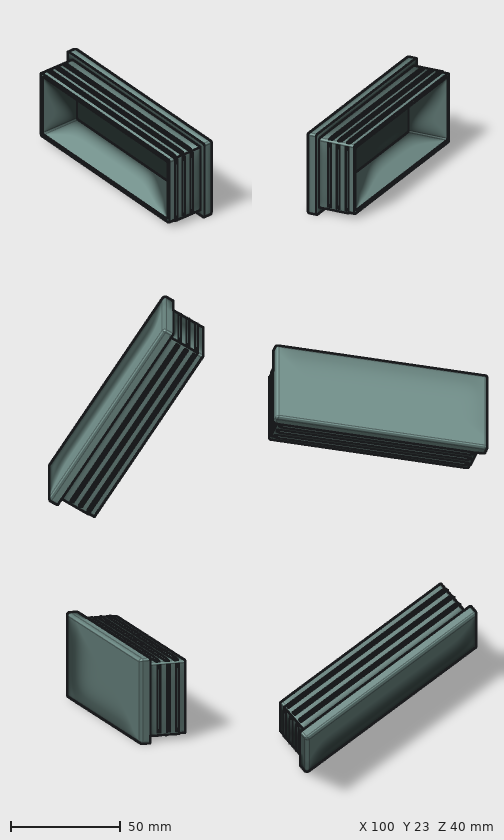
import cadquery as cq

LENGTH = 100.0
DEPTH = 23.0
HEIGHT = 40.0

CAP_THICKNESS = 5.0
CAP_CORNER_RADIUS = 1.0
CAP_FACE_RADIUS = 1.5

PLUG_INSET = 2.9
PLUG_CORNER_RADIUS = 1.1
ROUNDED_TIP_DEPTH = 3.0
WALL = 1.5
CAVITY_DEPTH = 20.0
CAVITY_CORNER_RADIUS = 0.7

FIN_COUNT = 3
FIN_PITCH = 4.5
FIN_BASE = 1.5
FIN_HEIGHT = 1.0
FIN_END_GAP = 1.4
FIN_END_SLOPE = 1.5

PLUG_DEPTH = DEPTH - CAP_THICKNESS
PLUG_LENGTH = LENGTH - 2 * PLUG_INSET
PLUG_HEIGHT = HEIGHT - 2 * PLUG_INSET
FIRST_FIN_Y = ROUNDED_TIP_DEPTH + FIN_BASE / 2


def block(length, height, y_start, depth):
    """Box centred on the Y axis, reaching from y_start towards +Y."""
    return cq.Workplane("XY").box(length, depth, height).translate((0, y_start + depth / 2, 0))


def make_cap():
    cap = block(LENGTH, HEIGHT, PLUG_DEPTH, CAP_THICKNESS)
    cap = cap.edges("|Y").fillet(CAP_CORNER_RADIUS)
    return cap.faces(">Y").edges().fillet(CAP_FACE_RADIUS)


def make_plug():
    """Plug with one corner rounded all along and the others only at the tip."""
    body = block(PLUG_LENGTH, PLUG_HEIGHT, ROUNDED_TIP_DEPTH, PLUG_DEPTH - ROUNDED_TIP_DEPTH)
    body = body.edges("|Y and <X and >Z").fillet(PLUG_CORNER_RADIUS)
    tip = block(PLUG_LENGTH, PLUG_HEIGHT, 0, ROUNDED_TIP_DEPTH)
    tip = tip.edges("|Y").fillet(PLUG_CORNER_RADIUS)
    return body.union(tip)


def make_cavity():
    cavity = block(PLUG_LENGTH - 2 * WALL, PLUG_HEIGHT - 2 * WALL, 0, CAVITY_DEPTH)
    return cavity.edges("|Y").fillet(CAVITY_CORNER_RADIUS)


def make_fin(side_length, wall_distance, y):
    """Ridge along X with sloping ends, standing on a wall facing +Z."""
    half_root = side_length / 2 - FIN_END_GAP
    half_crest = half_root - FIN_END_SLOPE
    half_base = FIN_BASE / 2
    ridge = (
        cq.Workplane("YZ")
        .polyline([(y - half_base, 0), (y + half_base, 0), (y, FIN_HEIGHT)])
        .close()
        .extrude(half_root, both=True)
    )
    end_profile = (
        cq.Workplane("XZ")
        .polyline([(-half_root, 0), (half_root, 0), (half_crest, FIN_HEIGHT), (-half_crest, FIN_HEIGHT)])
        .close()
        .extrude(-DEPTH)
    )
    return ridge.intersect(end_profile).translate((0, 0, wall_distance))


part = make_cap().union(make_plug())

for index in range(FIN_COUNT):
    fin_y = FIRST_FIN_Y + index * FIN_PITCH
    long_fin = make_fin(PLUG_LENGTH, PLUG_HEIGHT / 2, fin_y)
    short_fin = make_fin(PLUG_HEIGHT, PLUG_LENGTH / 2, fin_y)
    for angle in (0, 180):
        part = part.union(long_fin.rotate((0, 0, 0), (0, 1, 0), angle))
        part = part.union(short_fin.rotate((0, 0, 0), (0, 1, 0), angle + 90))

result = part.cut(make_cavity())